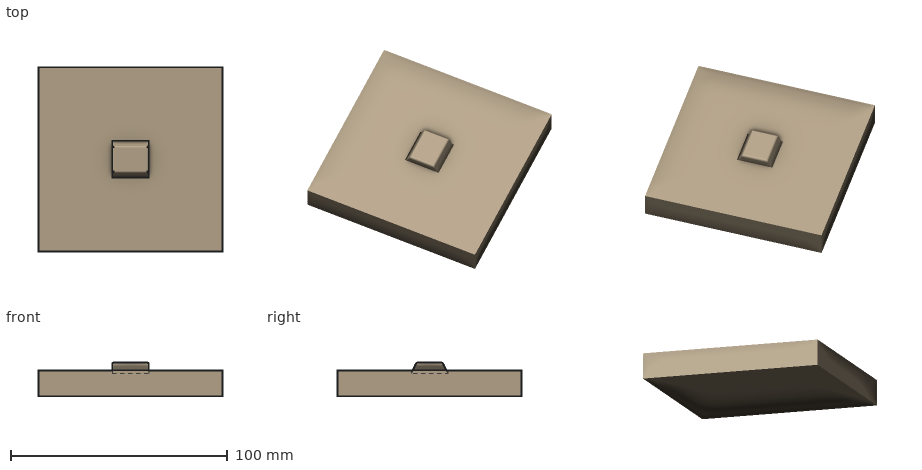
import cadquery as cq

PLATE_SIDE = 85.0
PLATE_THICKNESS = 12.0

BUTTON_SIDE = 17.0
BUTTON_TOP_WIDTH = 12.0
BUTTON_TOP = 15.6
BUTTON_HEIGHT = 5.0
TOP_EDGE_RADIUS = 1.0

POCKET_FLOOR = BUTTON_TOP - BUTTON_HEIGHT
POCKET_DEPTH = PLATE_THICKNESS - POCKET_FLOOR


def make_plate():
    """Square plate with a shallow pocket that seats the base of the button."""
    blank = cq.Workplane("XY").box(PLATE_SIDE, PLATE_SIDE, PLATE_THICKNESS, centered=(True, True, False))
    pocket = (
        cq.Workplane("XY")
        .workplane(offset=POCKET_FLOOR)
        .rect(BUTTON_SIDE, BUTTON_SIDE)
        .extrude(POCKET_DEPTH)
    )
    return blank.cut(pocket)


def make_button():
    """Button with upright X sides, Y flanks that lean inward and a rounded top rim."""
    half_base = BUTTON_SIDE / 2
    half_top = BUTTON_TOP_WIDTH / 2
    body = (
        cq.Workplane("YZ")
        .polyline([
            (-half_base, POCKET_FLOOR),
            (half_base, POCKET_FLOOR),
            (half_top, BUTTON_TOP),
            (-half_top, BUTTON_TOP),
        ])
        .close()
        .extrude(BUTTON_SIDE / 2, both=True)
    )
    return body.faces(">Z").edges().fillet(TOP_EDGE_RADIUS)


plate = make_plate()
button = make_button()

result = cq.Compound.makeCompound([plate.val(), button.val()])